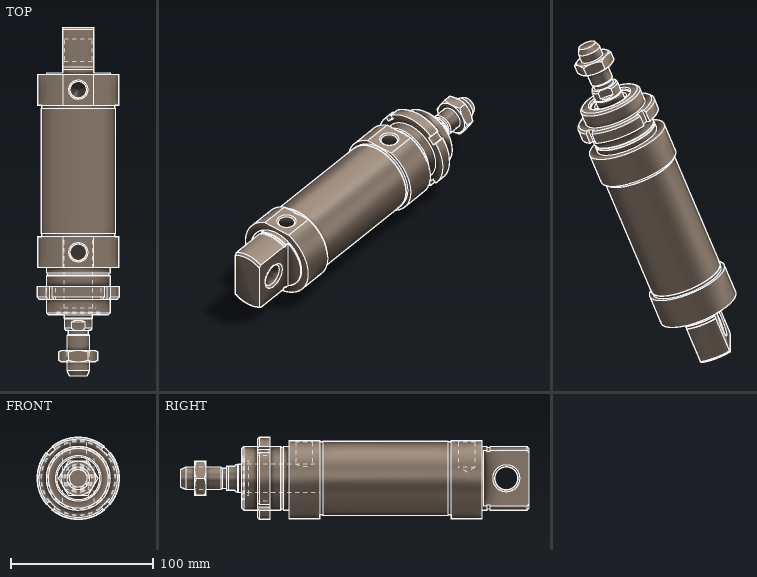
import cadquery as cq
import math


groove_length = 2.0
groove_cone_length = 0.8
neck_length = 2.2
end_block_length = 21.8
nose_face = 43.0
nose_groove_start = 70.4
head_front = 76.2
head_rear = head_front + end_block_length
cap_rear = 212.1
cap_front = cap_rear - end_block_length
overall_length = 245.0

block_radius = 57.0 / 2
barrel_radius = 52.4 / 2
barrel_neck_radius = 51.5 / 2
thread_radius = 45.0 / 2
thread_groove_radius = 43.4 / 2
thread_chamfer = 1.5

port_flat_height = 26.4
port_flat_width = 2 * math.sqrt(block_radius**2 - port_flat_height**2)
port_drill_radius = 11.45 / 2
port_mouth_radius = 13.5 / 2
port_depth = 18.5
drill_point_angle = 118.0
head_port_y = 87.0
cap_port_y = 201.3

rod_radius = 20.0 / 2
rod_end_radius = 19.5 / 2
rod_thread_radius = 16.0 / 2
rod_relief_radius = 14.38 / 2
rod_tip_radius = 12.5 / 2
rod_tip_length = 4.0
relief_start = 28.4
relief_cone_length = 1.0
shoulder = 32.2
shoulder_chamfer_length = 1.5
shoulder_chamfer_radius = 18.0 / 2
rod_step = 40.0
rod_step_length = 0.7
flat_across = 17.0
flat_end = 38.0
flat_runout = rod_end_radius - flat_across / 2

recess_mouth_radius = 32.0 / 2
recess_floor_radius = 30.0 / 2
recess_chamfer_length = 1.0
recess_depth = 2.0
seal_radius = 24.0 / 2
seal_depth = 3.0

eye_thickness = 22.0
eye_hole_radius = 16.0 / 2
eye_mouth_radius = 19.0 / 2
eye_end_distance = 16.0
eye_groove_front = 215.4
boss_length = 1.0

hex_across_flats = 24.0
hex_start = 10.0
hex_thickness = 8.0
hex_face_radius = hex_across_flats / 2
hex_chamfer_angle = 30.0

ring_radius = 58.0 / 2
ring_start = 54.0
ring_thickness = 9.0
ring_chamfer = 1.5
slot_count = 4
slot_width = 6.0
slot_floor_radius = 25.7


def turned(profile):
    """Solid of revolution about Y from (radius, y) points."""
    return cq.Workplane("XY").polyline(profile).close().revolve(360, (0, 0), (0, 1))


def turned_on_axis(outline):
    """Solid turned part; the outline is closed along the axis."""
    return turned([(0, outline[0][1])] + outline + [(0, outline[-1][1])])


def cut_port(block, block_start, port_y):
    """Mill the flat on top of an end block and drill the countersunk port into it."""
    flat = (
        cq.Workplane("XY")
        .box(port_flat_width, end_block_length, block_radius, centered=(True, False, False))
        .translate((0, block_start, port_flat_height))
    )
    countersink = port_mouth_radius - port_drill_radius
    bottom = port_flat_height - port_depth
    point = bottom - port_drill_radius / math.tan(math.radians(drill_point_angle / 2))
    drill = (
        cq.Workplane("XZ")
        .polyline(
            [
                (0, point),
                (port_drill_radius, bottom),
                (port_drill_radius, port_flat_height - countersink),
                (port_mouth_radius, port_flat_height),
                (0, port_flat_height),
            ]
        )
        .close()
        .revolve(360, (0, 0), (0, 1))
        .translate((0, port_y, 0))
    )
    return block.cut(flat).cut(drill)


def make_head():
    """Front end block with its threaded nose, rod bore and port."""
    body = turned_on_axis(
        [
            (thread_radius - thread_chamfer, nose_face),
            (thread_radius, nose_face + thread_chamfer),
            (thread_radius, nose_groove_start),
            (thread_groove_radius, nose_groove_start + groove_cone_length),
            (thread_groove_radius, nose_groove_start + groove_length),
            (thread_radius, nose_groove_start + groove_length),
            (thread_radius, head_front),
            (block_radius, head_front),
            (block_radius, head_rear),
        ]
    )
    recess_floor = nose_face + recess_depth
    seal_floor = recess_floor + seal_depth
    bore = turned_on_axis(
        [
            (recess_mouth_radius, nose_face),
            (recess_floor_radius, nose_face + recess_chamfer_length),
            (recess_floor_radius, recess_floor),
            (seal_radius, recess_floor),
            (seal_radius, seal_floor),
            (rod_radius, seal_floor),
            (rod_radius, head_rear),
        ]
    )
    return cut_port(body.cut(bore), head_front, head_port_y)


def make_cap():
    """Rear end block with its port and the flat-sided mounting eye."""
    body = turned_on_axis(
        [
            (block_radius, cap_front),
            (block_radius, cap_rear),
            (thread_radius, cap_rear),
            (thread_radius, eye_groove_front),
            (thread_groove_radius, eye_groove_front),
            (thread_groove_radius, eye_groove_front + groove_length),
            (thread_radius, eye_groove_front + groove_length),
            (thread_radius, overall_length - thread_chamfer),
            (thread_radius - thread_chamfer, overall_length),
        ]
    )
    eye_face = eye_thickness / 2
    eye_start = cap_rear + boss_length
    side = cq.Workplane("XY").box(
        thread_radius, overall_length - eye_start, 2 * thread_radius, centered=(False, False, True)
    )
    for x in (eye_face, -eye_face - thread_radius):
        body = body.cut(side.translate((x, eye_start, 0)))
    countersink = eye_mouth_radius - eye_hole_radius
    eye_hole = (
        turned_on_axis(
            [
                (eye_mouth_radius, -eye_face),
                (eye_hole_radius, -eye_face + countersink),
                (eye_hole_radius, eye_face - countersink),
                (eye_mouth_radius, eye_face),
            ]
        )
        .rotate((0, 0, 0), (0, 0, 1), 90)
        .translate((0, overall_length - eye_end_distance, 0))
    )
    return cut_port(body.cut(eye_hole), cap_front, cap_port_y)


def make_barrel():
    """Plain barrel with a narrower neck against each end block."""
    return turned_on_axis(
        [
            (barrel_neck_radius, head_rear),
            (barrel_neck_radius, head_rear + neck_length),
            (barrel_radius, head_rear + neck_length),
            (barrel_radius, cap_front - neck_length),
            (barrel_neck_radius, cap_front - neck_length),
            (barrel_neck_radius, cap_front),
        ]
    )


def make_rod():
    """Stepped rod with a threaded tip, a thread relief and two wrench flats."""
    rod = turned_on_axis(
        [
            (rod_tip_radius, 0),
            (rod_thread_radius, rod_tip_length),
            (rod_thread_radius, relief_start),
            (rod_relief_radius, relief_start + relief_cone_length),
            (rod_relief_radius, shoulder),
            (shoulder_chamfer_radius, shoulder),
            (rod_end_radius, shoulder + shoulder_chamfer_length),
            (rod_end_radius, rod_step),
            (rod_radius, rod_step + rod_step_length),
            (rod_radius, head_rear),
        ]
    )
    half_flat = flat_across / 2
    flat = (
        cq.Workplane("YZ")
        .polyline(
            [
                (shoulder, half_flat),
                (flat_end, half_flat),
                (flat_end + flat_runout, half_flat + flat_runout),
                (shoulder, half_flat + flat_runout),
            ]
        )
        .close()
        .extrude(rod_radius, both=True)
    )
    return rod.cut(flat).cut(flat.mirror("XY"))


def make_hex_nut():
    """Hexagon nut with both faces chamfered."""
    corner_radius = hex_across_flats / 2 / math.cos(math.pi / 6)
    chamfer_length = (corner_radius - hex_face_radius) * math.tan(math.radians(hex_chamfer_angle))
    hex_end = hex_start + hex_thickness
    envelope = turned(
        [
            (rod_thread_radius, hex_start),
            (hex_face_radius, hex_start),
            (corner_radius, hex_start + chamfer_length),
            (corner_radius, hex_end - chamfer_length),
            (hex_face_radius, hex_end),
            (rod_thread_radius, hex_end),
        ]
    )
    prism = cq.Workplane("XZ").polygon(6, 2 * corner_radius).extrude(-hex_end)
    return envelope.intersect(prism)


def make_ring_nut():
    """Ring nut with one chamfered face and slots between the X and Z axes."""
    ring_end = ring_start + ring_thickness
    ring = turned(
        [
            (thread_radius, ring_start),
            (ring_radius - ring_chamfer, ring_start),
            (ring_radius, ring_start + ring_chamfer),
            (ring_radius, ring_end),
            (thread_radius, ring_end),
        ]
    )
    slot = (
        cq.Workplane("XY")
        .box(ring_radius, ring_thickness, slot_width, centered=(False, False, True))
        .translate((slot_floor_radius, ring_start, 0))
    )
    pitch = 360 / slot_count
    for index in range(slot_count):
        ring = ring.cut(slot.rotate((0, 0, 0), (0, 1, 0), (index + 0.5) * pitch))
    return ring


head = make_head()
cap = make_cap()
barrel = make_barrel()
rod = make_rod()
hex_nut = make_hex_nut()
ring_nut = make_ring_nut()

result = cq.Compound.makeCompound(
    [head.val(), cap.val(), barrel.val(), rod.val(), hex_nut.val(), ring_nut.val()]
)